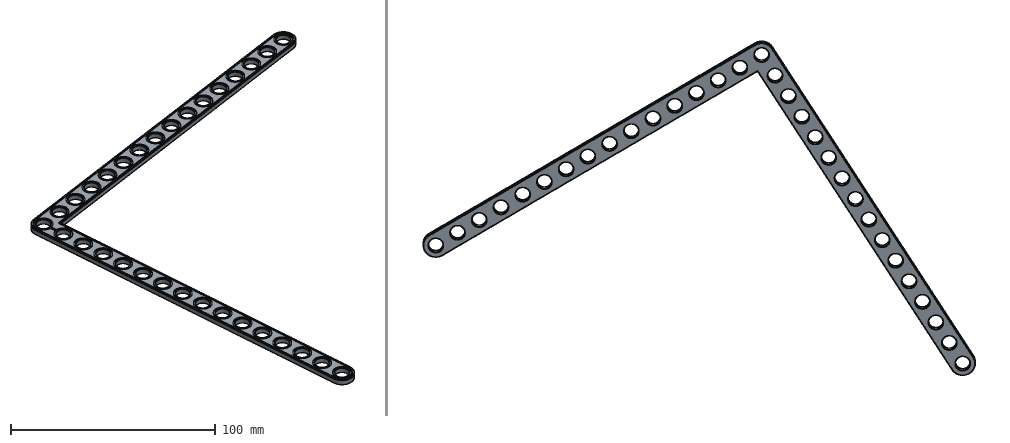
import cadquery as cq

arm_length = 200.0
holes_per_arm = 16
thickness = 3.2
hole_diameter = 7.0
ring_diameter = 9.2
rim_width = 1.05
rib_width = 1.0
recess_depth = 0.25
edge_chamfer = 0.35

pitch = arm_length / holes_per_arm
arm_width = pitch
hole_span = arm_length - arm_width
recess_floor = thickness - recess_depth


def arm(angle, inset):
    """Round-ended bar starting at the corner hole on the origin, shrunk all round by inset."""
    return (
        cq.Workplane("XY")
        .transformed(rotate=(0, 0, angle))
        .center(hole_span / 2, 0)
        .slot2D(arm_length - 2 * inset, arm_width - 2 * inset)
        .extrude(thickness)
    )


def l_plate(inset):
    """Two arms at a right angle, along +X and +Y, sharing the corner hole."""
    return arm(0, inset).union(arm(90, inset))


def cylinders(diameter):
    """Full-height cylinders at every hole, with the corner hole counted once."""
    along_x = [(i * pitch, 0) for i in range(holes_per_arm)]
    along_y = [(0, i * pitch) for i in range(1, holes_per_arm)]
    return (
        cq.Workplane("XY")
        .pushPoints(along_x + along_y)
        .circle(diameter / 2)
        .extrude(thickness)
    )


def corner_rib():
    """Narrow full-height rib from the corner hole to its neighbor on the X arm."""
    return (
        cq.Workplane("XY")
        .center(pitch / 2, 0)
        .rect(pitch, rib_width)
        .extrude(thickness)
    )


def recess():
    """Shallow pocket in the top face that leaves the rim, rings and rib standing."""
    return (
        l_plate(rim_width)
        .cut(cylinders(ring_diameter))
        .cut(corner_rib())
        .translate((0, 0, recess_floor))
    )


drilled_plate = l_plate(0).cut(cylinders(hole_diameter))
chamfered_plate = drilled_plate.faces(">Z or <Z").edges().chamfer(edge_chamfer)

result = chamfered_plate.cut(recess())